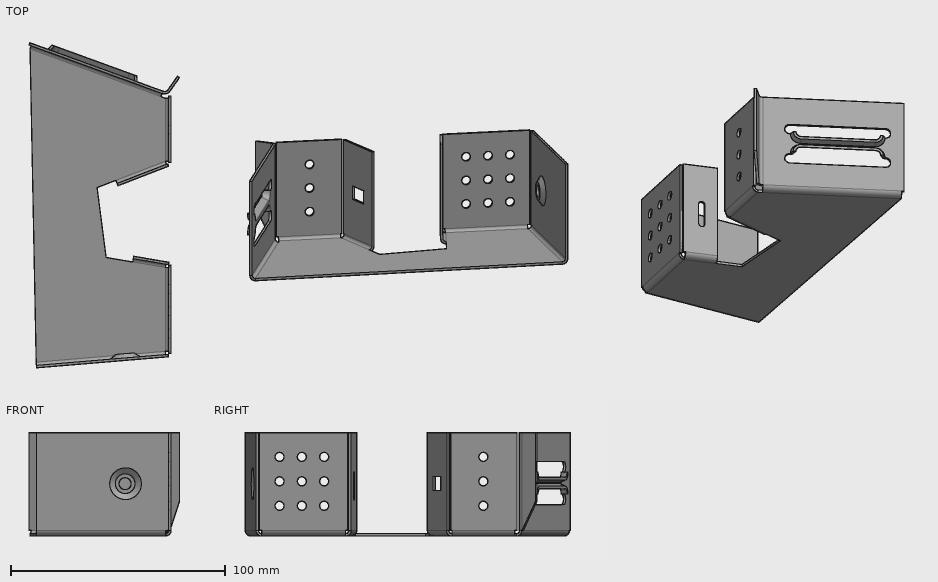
import cadquery as cq
import math

DIAGONAL = math.sqrt(0.5)

SHEET = 1.2
BEND_R = 1.5
HEIGHT = 48.23
BEND_H = SHEET + BEND_R

BACK_LEFT = (0.45, 148.78)
BACK_RIGHT = (61.57, 126.54)
SIDE_X = 63.6
UPPER_SIDE_Y = (96.4, 125.8)
LOWER_SIDE_Y = (46.9, 7.8)
NOTCH_UPPER = (31.8, 84.1)
NOTCH_LOWER = (36.0, 51.6)
FRONT_LEFT = (3.3, 2.75)

UPPER_SIDE_TOP = (SIDE_X, UPPER_SIDE_Y[1])
UPPER_SIDE_BOTTOM = (SIDE_X, UPPER_SIDE_Y[0])
LOWER_SIDE_TOP = (SIDE_X, LOWER_SIDE_Y[0])
LOWER_SIDE_BOTTOM = (SIDE_X, LOWER_SIDE_Y[1])

SIDE_OVERHANG = 1.1
CORNER_OVERHANG = 1.2
UPPER_NOTCH_OVERHANG = 0.6
UPPER_SIDE_LOW_OVERHANG = 0.6
BACK_END_OVERHANG = 1.03

UPPER_NOTCH_START = 9.3
LOWER_NOTCH_START = 12.5

HOLE_D = 4.1
HOLE_MID_Z = 25.5
HOLE_PITCH_Z = 11.4
UPPER_HOLE_Y = 111.1
LOWER_HOLE_Y = 26.5
LOWER_HOLE_PITCH_Y = 10.4

UPPER_SLOT_L = 9.8
UPPER_SLOT_H = 6.4
UPPER_SLOT_Z = 24.5
LOWER_SLOT_W = 3.0
LOWER_SLOT_H = 13.0
LOWER_SLOT_Z = 23.4

DIMPLE_X = 45.0
DIMPLE_Z = 24.4
DIMPLE_D = 14.8
DIMPLE_FLOOR_D = 9.2
DIMPLE_DEPTH = 2.0
DIMPLE_HOLE_D = 5.6

SLOT_PAIR_Z = 24.7
SLOT_PAIR_MID = 31.1
SLOT_LENGTH = 49.6
SLOT_OUTER = 10.0
SLOT_INNER = 5.1
STRIP_HALF = 1.1
LIP_LENGTH = 42.8
LIP_CORNER_R = SLOT_INNER - STRIP_HALF
LIP_RISE = 2.5
LIP_ANGLE = 24.0
LIP_BEND_R = 0.4
LIP_SHEET = SHEET / math.cos(math.radians(LIP_ANGLE))

TAB_BEND = 75.0
TAB_BEND_R = 2.0
TAB_LENGTH = 7.62
TAB_CHAMFER_H = 13.4


def length(start, end):
    return math.dist(start, end)


def point_toward(start, end, distance):
    """Point on the line from start to end, at a distance from start."""
    share = distance / length(start, end)
    return (start[0] + share * (end[0] - start[0]), start[1] + share * (end[1] - start[1]))


def wall_plane(start, end, outward=0.0):
    """Upright plane along an edge: x along it, y up, normal pointing outward."""
    dx = (end[0] - start[0]) / length(start, end)
    dy = (end[1] - start[1]) / length(start, end)
    origin = (start[0] + outward * dy, start[1] - outward * dx, 0)
    return cq.Plane(origin=origin, xDir=(dx, dy, 0), normal=(dy, -dx, 0))


def flange(start, end, wall_before, wall_after):
    """Bend and upright wall along an edge, the plate lying to its left.

    The bend spans the edge; the wall runs past its two ends by wall_before
    and wall_after.
    """
    plane = wall_plane(start, end)
    bend_length = length(start, end)
    across = cq.Plane(
        origin=plane.origin,
        xDir=plane.zDir,
        normal=-plane.xDir,
    )
    bend = (
        cq.Workplane(across)
        .moveTo(0, 0)
        .threePointArc((BEND_H * DIAGONAL, BEND_H * (1 - DIAGONAL)), (BEND_H, BEND_H))
        .lineTo(BEND_R, BEND_H)
        .threePointArc((BEND_R * DIAGONAL, BEND_H - BEND_R * DIAGONAL), (0, SHEET))
        .close()
        .extrude(-bend_length)
    )
    wall_length = wall_before + bend_length + wall_after
    wall = (
        cq.Workplane(wall_plane(start, end, BEND_R))
        .center(-wall_before, BEND_H)
        .rect(wall_length, HEIGHT - BEND_H, centered=False)
        .extrude(SHEET)
    )
    return bend.union(wall)


def through_wall(start, end):
    """Workplane on the inner face of the wall along an edge, for cutting outward."""
    return cq.Workplane(wall_plane(start, end, BEND_R))


def base_plate():
    outline = [
        FRONT_LEFT, LOWER_SIDE_BOTTOM, LOWER_SIDE_TOP, NOTCH_LOWER, NOTCH_UPPER,
        UPPER_SIDE_BOTTOM, UPPER_SIDE_TOP, BACK_RIGHT, BACK_LEFT,
    ]
    return cq.Workplane("XY").polyline(outline).close().extrude(SHEET)


def front_flange():
    body = flange(FRONT_LEFT, LOWER_SIDE_BOTTOM, 0, CORNER_OVERHANG)
    plane = wall_plane(FRONT_LEFT, LOWER_SIDE_BOTTOM, BEND_H)
    along = (DIMPLE_X - plane.origin.x) / plane.xDir.x
    lean = math.atan2(DIMPLE_DEPTH, (DIMPLE_D - DIMPLE_FLOOR_D) / 2)
    shell_shift = SHEET * math.tan(lean / 2)
    mouth_r = DIMPLE_D / 2
    floor_r = DIMPLE_FLOOR_D / 2

    def cone(depth, r_mouth, r_floor):
        """Frustum narrowing inward from a face at the given depth."""
        axis_plane = cq.Plane(
            origin=plane.toWorldCoords((along, DIMPLE_Z, -depth)),
            xDir=plane.xDir,
            normal=plane.yDir,
        )
        profile = [(0, 0), (r_mouth, 0), (r_floor, DIMPLE_DEPTH), (0, DIMPLE_DEPTH)]
        return cq.Workplane(axis_plane).polyline(profile).close().revolve(360, (0, 0), (0, 1))

    body = body.union(cone(SHEET, mouth_r - shell_shift, floor_r - shell_shift))
    body = body.cut(cone(0, mouth_r, floor_r))
    hole = (
        cq.Workplane(plane)
        .center(along, DIMPLE_Z)
        .circle(DIMPLE_HOLE_D / 2)
        .extrude(-(DIMPLE_DEPTH + SHEET))
    )
    return body.cut(hole)


def side_flanges():
    lower = flange(LOWER_SIDE_BOTTOM, LOWER_SIDE_TOP, SIDE_OVERHANG, SIDE_OVERHANG)
    upper = flange(UPPER_SIDE_BOTTOM, UPPER_SIDE_TOP, UPPER_SIDE_LOW_OVERHANG, SIDE_OVERHANG)
    rows = [HOLE_MID_Z + i * HOLE_PITCH_Z for i in (-1, 0, 1)]
    columns = [LOWER_HOLE_Y + i * LOWER_HOLE_PITCH_Y for i in (-1, 0, 1)] + [UPPER_HOLE_Y]
    holes = (
        cq.Workplane("YZ", origin=(SIDE_X + BEND_R, 0, 0))
        .pushPoints([(y, z) for y in columns for z in rows])
        .circle(HOLE_D / 2)
        .extrude(SHEET)
    )
    return lower.union(upper).cut(holes)


def upper_notch_flange():
    edge = (point_toward(NOTCH_UPPER, UPPER_SIDE_BOTTOM, UPPER_NOTCH_START), UPPER_SIDE_BOTTOM)
    slot = (
        through_wall(*edge)
        .center(length(*edge) / 2, UPPER_SLOT_Z)
        .rect(UPPER_SLOT_L, UPPER_SLOT_H)
        .extrude(SHEET)
    )
    return flange(*edge, 0, UPPER_NOTCH_OVERHANG).cut(slot)


def lower_notch_flange():
    edge = (LOWER_SIDE_TOP, point_toward(NOTCH_LOWER, LOWER_SIDE_TOP, LOWER_NOTCH_START))
    slot = (
        through_wall(*edge)
        .center(length(*edge) / 2, LOWER_SLOT_Z)
        .slot2D(LOWER_SLOT_H, LOWER_SLOT_W, 90)
        .extrude(SHEET)
    )
    return flange(*edge, CORNER_OVERHANG, 0).cut(slot)


def lip_block(growth):
    """Block over the strip, narrowing outward, with rounded corners next to the strip.

    Local axes: x along the wall, y up from the strip middle, z outward.
    """
    half = LIP_LENGTH / 2 + growth
    bottom = STRIP_HALF - growth
    top = 2 * SLOT_OUTER
    radius = LIP_CORNER_R + growth
    inset = radius * (1 - DIAGONAL)
    block = (
        cq.Workplane("XY")
        .moveTo(-half, top)
        .lineTo(-half, bottom + radius)
        .threePointArc((-half + inset, bottom + inset), (-half + radius, bottom))
        .lineTo(half - radius, bottom)
        .threePointArc((half - inset, bottom + inset), (half, bottom + radius))
        .lineTo(half, top)
        .close()
        .extrude(SHEET + LIP_RISE, taper=LIP_ANGLE)
    )
    strip_zone = (
        cq.Workplane("XY")
        .rect(2 * half, 2 * SLOT_INNER)
        .extrude(SHEET + LIP_RISE)
    )
    return block.intersect(strip_zone)


def add_lipped_slots(wall):
    """Cut the slot pair and raise its lips; the wall lies in the lip_block axes."""
    slot_height = SLOT_OUTER - SLOT_INNER
    slot = (
        cq.Workplane("XY")
        .center(0, SLOT_INNER + slot_height / 2)
        .slot2D(SLOT_LENGTH, slot_height)
        .extrude(SHEET)
    )
    lip = lip_block(LIP_SHEET)
    opening = lip_block(0).union(slot)
    wall = wall.union(lip).union(lip.mirror("XZ"))
    wall = wall.cut(opening).cut(opening.mirror("XZ"))

    reach_x = LIP_LENGTH / 2
    reach_y = STRIP_HALF + LIP_CORNER_R / 2
    reach_z = SHEET / 2
    lip_roots = cq.selectors.BoxSelector((-reach_x, -reach_y, -reach_z), (reach_x, reach_y, reach_z))
    return wall.edges(lip_roots).fillet(LIP_BEND_R)


def back_flange():
    edge = (BACK_RIGHT, BACK_LEFT)
    body = flange(*edge, 0, BACK_END_OVERHANG)
    face = wall_plane(*edge, BEND_R)
    slots_x = length(*edge) + BACK_END_OVERHANG - SLOT_PAIR_MID
    slots_plane = cq.Plane(
        origin=face.toWorldCoords((slots_x, SLOT_PAIR_Z, 0)),
        xDir=face.xDir,
        normal=face.zDir,
    )
    to_wall = cq.Location(slots_plane)
    flat_wall = cq.Workplane(body.val().moved(to_wall.inverse))
    slotted_wall = add_lipped_slots(flat_wall)
    return cq.Workplane(slotted_wall.val().moved(to_wall))


def back_tab():
    """Tab bent outward at the right end of the back wall, its lower corner cut off."""
    face = wall_plane(BACK_RIGHT, BACK_LEFT, BEND_R)
    plan = cq.Plane(
        origin=face.toWorldCoords((0, BEND_H, 0)),
        xDir=-face.xDir,
        normal=(0, 0, 1),
    )
    outer_r = TAB_BEND_R + SHEET

    def on_arc(radius, degrees):
        turn = math.radians(degrees)
        return (radius * math.sin(turn), outer_r - radius * math.cos(turn))

    def along_tab(point):
        turn = math.radians(TAB_BEND)
        return (point[0] + TAB_LENGTH * math.cos(turn), point[1] + TAB_LENGTH * math.sin(turn))

    near = on_arc(outer_r, TAB_BEND)
    far = on_arc(TAB_BEND_R, TAB_BEND)
    tab = (
        cq.Workplane(plan)
        .moveTo(0, 0)
        .threePointArc(on_arc(outer_r, TAB_BEND / 2), near)
        .lineTo(*along_tab(near))
        .lineTo(*along_tab(far))
        .lineTo(*far)
        .threePointArc(on_arc(TAB_BEND_R, TAB_BEND / 2), (0, SHEET))
        .close()
        .extrude(HEIGHT - BEND_H)
    )
    tab_start = plan.toWorldCoords((*near, 0))
    tab_end = plan.toWorldCoords((*along_tab(near), 0))
    corner = (
        cq.Workplane(wall_plane(tab_start.toTuple()[:2], tab_end.toTuple()[:2]))
        .polyline([(0, BEND_H), (TAB_LENGTH, BEND_H), (TAB_LENGTH, BEND_H + TAB_CHAMFER_H)])
        .close()
        .extrude(SHEET, both=True)
    )
    return tab.cut(corner)


result = (
    base_plate()
    .union(front_flange())
    .union(side_flanges())
    .union(upper_notch_flange())
    .union(lower_notch_flange())
    .union(back_flange())
    .union(back_tab())
)